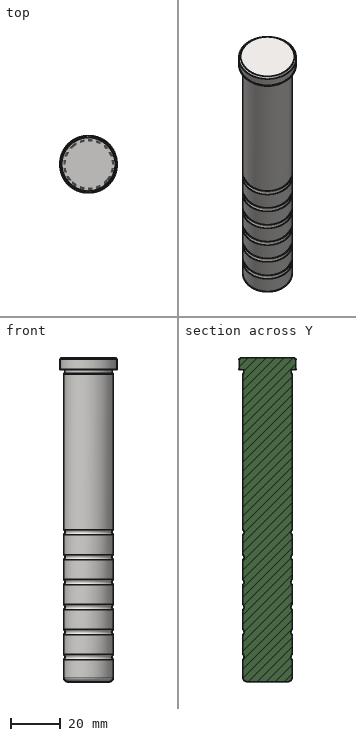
import cadquery as cq

total_length = 130.0
head_diameter = 23.0
body_diameter = 20.0

head_height = 5.0
head_upper_chamfer = 0.8
head_lower_chamfer = 0.3
relief_height = 1.4
relief_depth = 0.4
relief_shoulder_chamfer = 0.3

end_radius = 2.0

groove_count = 6
groove_pitch = 10.0
groove_width = 2.1
groove_depth = 0.5
first_groove_height = groove_pitch

head_radius = head_diameter / 2
body_radius = body_diameter / 2
head_bottom = total_length - head_height


def make_body():
    """Cylindrical shank with a rounded lower end."""
    body = cq.Workplane("XY").circle(body_radius).extrude(head_bottom)
    return body.faces("<Z").edges().fillet(end_radius)


def make_head():
    """Wider cap with a chamfered top edge and a smaller chamfer below."""
    head = cq.Workplane("XY").workplane(offset=head_bottom).circle(head_radius).extrude(head_height)
    head = head.faces(">Z").edges().chamfer(head_upper_chamfer)
    return head.faces("<Z").edges().chamfer(head_lower_chamfer)


def make_relief():
    """Ring removed directly below the head, with a bevel on the shoulder under it."""
    neck_radius = body_radius - relief_depth
    shoulder_height = head_bottom - relief_height
    return (
        cq.Workplane("XZ")
        .moveTo(neck_radius, head_bottom)
        .lineTo(neck_radius, shoulder_height)
        .lineTo(body_radius - relief_shoulder_chamfer, shoulder_height)
        .lineTo(body_radius, shoulder_height - relief_shoulder_chamfer)
        .lineTo(body_radius, head_bottom)
        .close()
        .revolve(360, (0, 0, 0), (0, 1, 0))
    )


def make_groove(center_height):
    """Ring with an arc-shaped inner side, centred at the given height."""
    half_width = groove_width / 2
    return (
        cq.Workplane("XZ")
        .moveTo(body_radius, center_height - half_width)
        .threePointArc(
            (body_radius - groove_depth, center_height),
            (body_radius, center_height + half_width),
        )
        .close()
        .revolve(360, (0, 0, 0), (0, 1, 0))
    )


shank = make_body().cut(make_relief())
for index in range(groove_count):
    shank = shank.cut(make_groove(first_groove_height + index * groove_pitch))

result = shank.union(make_head())